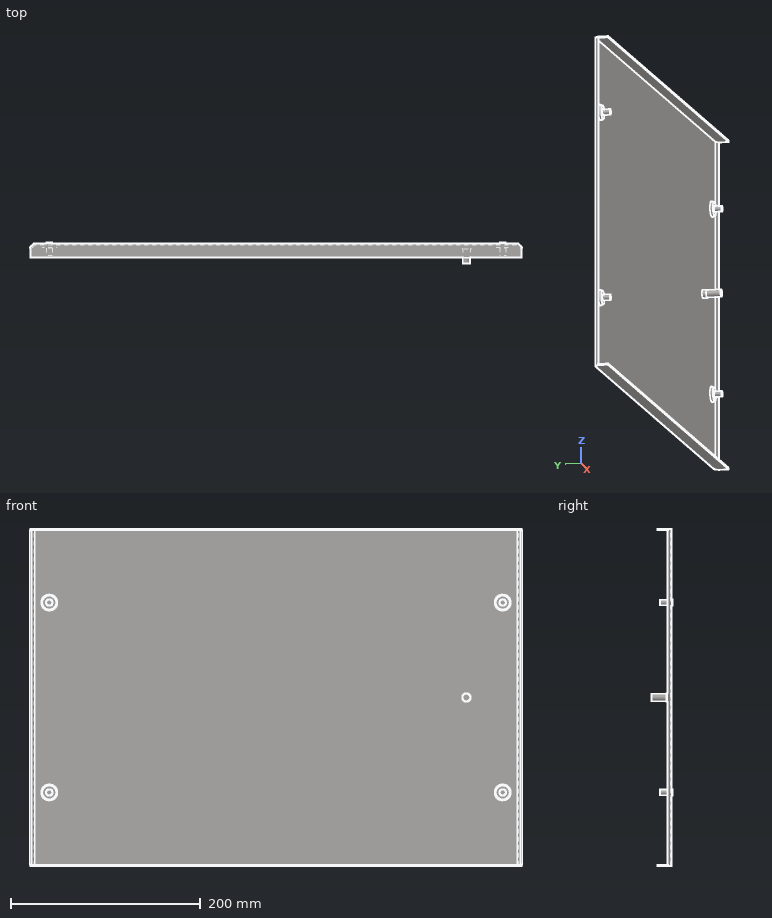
import cadquery as cq

panel_width = 518.8
panel_height = 355.0
sheet = 1.5

spigot_diameter = 6.6
spigot_overhang = 1.0
collar_base_diameter = 17.0
collar_front_diameter = 14.6
collar_thickness = 2.8
step_diameter = 7.2
step_height = 0.3
pin_diameter = 6.2
pin_tip_depth = 13.5
fastener_spacing_x = 477.6
fastener_spacing_z = 200.0

panel_back = -spigot_overhang
panel_front = panel_back - sheet

lip_depth = 4.5
lip_end = panel_back - lip_depth
lip_tip = panel_width / 2
lip_face_offset = sheet * 2**0.5
back_bend = lip_tip - lip_depth
front_bend = back_bend + sheet - lip_face_offset

flange_depth = 15.0
flange_end = panel_back - flange_depth
flange_half_width = 258.6
flange_corner = lip_end + lip_tip - flange_half_width

stud_x = 200.5
stud_diameter = 8.0
stud_length = 20.0
stud_root_diameter = 9.0
stud_root_length = 4.5


def mirrored_outline(right_half):
    """A closed XY outline from its right half, listed from the back to the front."""
    left_half = [(-x, y) for x, y in reversed(right_half)]
    return cq.Workplane("XY").polyline(right_half + left_half).close()


def cylinder(x, z, diameter, start, end):
    """A round rod along Y between two depths, the start being the rear one."""
    return (
        cq.Workplane("XZ", origin=(x, start, z))
        .circle(diameter / 2)
        .extrude(start - end)
    )


def lipped_sheet():
    section = [
        (back_bend, panel_back),
        (lip_tip, lip_end),
        (lip_tip - lip_face_offset, lip_end),
        (front_bend, panel_front),
    ]
    inner_height = panel_height - 2 * sheet
    return mirrored_outline(section).extrude(inner_height / 2, both=True)


def flange(bottom):
    outline = [
        (back_bend, panel_back),
        (flange_half_width, flange_corner),
        (flange_half_width, flange_end),
    ]
    return mirrored_outline(outline).extrude(sheet).translate((0, 0, bottom))


def grounding_stud():
    rod = cylinder(stud_x, 0, stud_diameter, panel_front, panel_front - stud_length)
    root = cylinder(stud_x, 0, stud_root_diameter, panel_front, panel_front - stud_root_length)
    return rod.union(root)


def make_fastener(x, z):
    spigot = cylinder(x, z, spigot_diameter, 0, panel_front)
    collar = (
        cq.Workplane("XZ", origin=(x, panel_front, z))
        .circle(collar_base_diameter / 2)
        .workplane(offset=collar_thickness)
        .circle(collar_front_diameter / 2)
        .loft()
    )
    step_start = panel_front - collar_thickness
    step = cylinder(x, z, step_diameter, step_start, step_start - step_height)
    pin = cylinder(x, z, pin_diameter, panel_front, -pin_tip_depth)
    return spigot.union(collar).union(step).union(pin)


fastener_places = [
    (side * fastener_spacing_x / 2, level * fastener_spacing_z / 2)
    for side in (-1, 1)
    for level in (-1, 1)
]

panel = lipped_sheet()
for flange_bottom in (-panel_height / 2, panel_height / 2 - sheet):
    panel = panel.union(flange(flange_bottom))
panel = panel.union(grounding_stud())
for x, z in fastener_places:
    panel = panel.cut(cylinder(x, z, spigot_diameter, panel_back, panel_front))

fasteners = [make_fastener(x, z).val() for x, z in fastener_places]

result = cq.Compound.makeCompound([panel.val(), *fasteners])